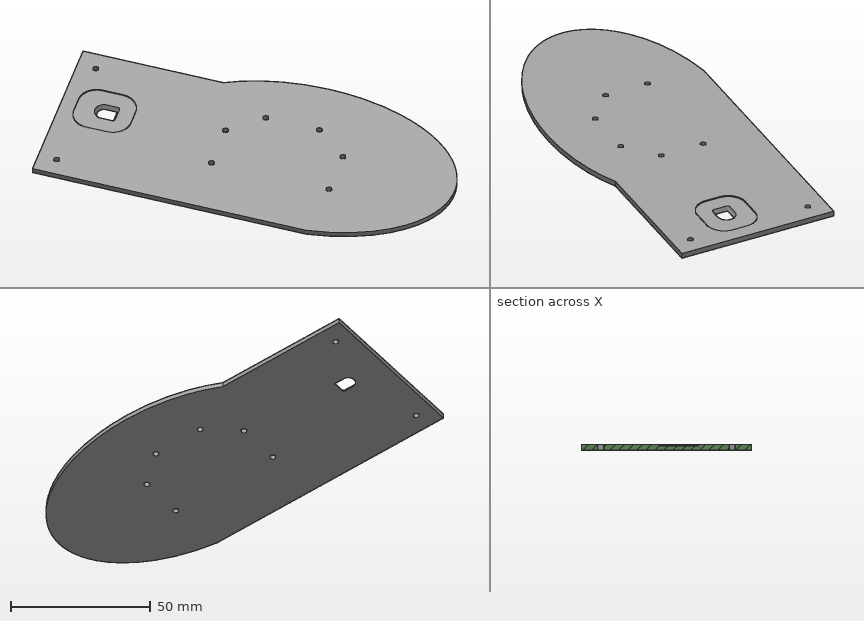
import cadquery as cq
import math

length = 148.0
width = 69.2
thickness = 2.0
tail_width = 61.1
head_radius_x = 58.0
head_radius_y = 35.0
head_x = length - head_radius_x
head_y = width - head_radius_y

hole_diameter = 2.0
tail_hole_inset = 7.0
head_holes_x = 82.5
inner_half_spacing = 10.0
outer_half_spacing = 22.0
inner_holes_y = 49.0
outer_holes_y = (21.9, 38.8)

recess_length = 21.5
recess_width = 19.2
recess_corner_radius = 6.8
recess_depth = 0.5
recess_x = 16.3
recess_y = 35.0
recess_floor = thickness - recess_depth

opening_left = 12.6
opening_right = 21.0
opening_width = 6.8
opening_corner_radius = 1.0
opening_inset = 0.9


def head_offset_x(y):
    """Distance from the head centre to the ellipse at a given y."""
    return head_radius_x * math.sqrt(1 - ((y - head_y) / head_radius_y) ** 2)


def make_plate():
    tail_end = head_x - head_offset_x(tail_width)
    tail = (
        cq.Workplane("XY")
        .moveTo(0, 0)
        .lineTo(head_x + head_offset_x(0), 0)
        .lineTo(head_x, head_y)
        .lineTo(tail_end, tail_width)
        .lineTo(0, tail_width)
        .close()
        .extrude(thickness)
    )
    head = (
        cq.Workplane("XY")
        .center(head_x, head_y)
        .ellipse(head_radius_x, head_radius_y)
        .extrude(thickness)
    )
    envelope = cq.Workplane("XY").box(length, width, thickness, centered=False)
    return tail.union(head.intersect(envelope))


def make_recess():
    return (
        cq.Workplane("XY", origin=(recess_x, recess_y, recess_floor))
        .rect(recess_length, recess_width)
        .extrude(recess_depth)
        .edges("|Z")
        .fillet(recess_corner_radius)
    )


def d_outline(sketch, inset):
    """Add the opening's outline, shrunk by inset on every side."""
    radius = opening_width / 2 - inset
    arc_x = opening_left + opening_width / 2
    right = opening_right - inset
    corner = opening_corner_radius - inset
    corner_x = right - corner
    corner_rise = radius - corner
    diagonal = corner * math.sqrt(0.5)
    return (
        sketch.moveTo(arc_x, recess_y - radius)
        .lineTo(corner_x, recess_y - radius)
        .threePointArc(
            (corner_x + diagonal, recess_y - corner_rise - diagonal),
            (right, recess_y - corner_rise),
        )
        .lineTo(right, recess_y + corner_rise)
        .threePointArc(
            (corner_x + diagonal, recess_y + corner_rise + diagonal),
            (corner_x, recess_y + radius),
        )
        .lineTo(arc_x, recess_y + radius)
        .threePointArc((arc_x - radius, recess_y), (arc_x, recess_y - radius))
        .close()
    )


def make_opening():
    sketch = d_outline(cq.Workplane("XY"), opening_inset)
    sketch = d_outline(sketch.workplane(offset=recess_floor), 0)
    return sketch.loft(ruled=True)


def make_holes():
    points = [(tail_hole_inset, tail_hole_inset), (tail_hole_inset, tail_width - tail_hole_inset)]
    for side in (-1, 1):
        points.append((head_holes_x + side * inner_half_spacing, inner_holes_y))
        for y in outer_holes_y:
            points.append((head_holes_x + side * outer_half_spacing, y))
    return cq.Workplane("XY").pushPoints(points).circle(hole_diameter / 2).extrude(thickness)


result = make_plate().cut(make_recess()).cut(make_opening()).cut(make_holes())